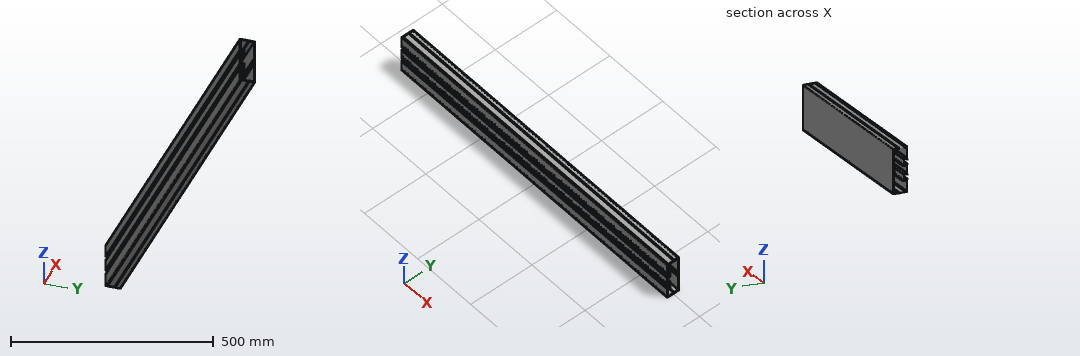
import cadquery as cq

length = 1000.0
depth = 40.0
height = 120.0

wall = 3.0
thin_wall = 2.0
corner_radius = 3.0

step_y = 4.0
thin_front_y = -14.0

channel_z = 20.0
slot_width = 12.0
channel_mouth_width = 18.0
channel_floor_width = 14.0
channel_wall = 2.5
channel_depth = 12.0

seam_width = 1.0
seam_depth = 1.0

rib_base_width = 14.0
rib_tip_width = 10.0
rib_height = 2.0

front_y = -depth / 2
back_y = depth / 2


def prism(points):
    """Full-length prism whose (Y, Z) section has the given corners."""
    return cq.Workplane("YZ", origin=(-length / 2, 0, 0)).polyline(points).close().extrude(length)


def tapered_bar(y_start, y_end, center_z, start_width, end_width):
    """Full-length bar whose Z width changes evenly from y_start to y_end."""
    return prism([
        (y_start, center_z - start_width / 2),
        (y_end, center_z - end_width / 2),
        (y_end, center_z + end_width / 2),
        (y_start, center_z + start_width / 2),
    ])


def straight_bar(y_start, y_end, center_z, width):
    return tapered_bar(y_start, y_end, center_z, width, width)


def hollow_box():
    outer = straight_bar(front_y, back_y, 0, height).edges("|X").fillet(corner_radius)
    cavity = straight_bar(front_y + wall, back_y - wall, 0, height - 2 * wall)
    relief = straight_bar(thin_front_y, step_y, 0, height - 2 * thin_wall)
    return outer.cut(cavity).cut(relief)


def add_channel(body, z):
    mouth_y = front_y + wall
    housing_y = front_y + channel_depth
    floor_y = housing_y - channel_wall
    housing = tapered_bar(
        mouth_y, housing_y, z,
        channel_mouth_width + 2 * channel_wall,
        channel_floor_width + 2 * channel_wall,
    )
    hollow = tapered_bar(mouth_y, floor_y, z, channel_mouth_width, channel_floor_width)
    slot = straight_bar(front_y, floor_y, z, slot_width)
    return body.union(housing).cut(hollow).cut(slot)


def add_back_rib(body):
    base_y = back_y - wall
    return body.union(tapered_bar(base_y, base_y - rib_height, 0, rib_base_width, rib_tip_width))


def cut_seam(body, side):
    center_z = side * (height - seam_depth) / 2
    return body.cut(straight_bar(step_y, step_y + seam_width, center_z, seam_depth))


result = add_back_rib(hollow_box())
for side in (-1, 1):
    result = add_channel(result, side * channel_z)
    result = cut_seam(result, side)